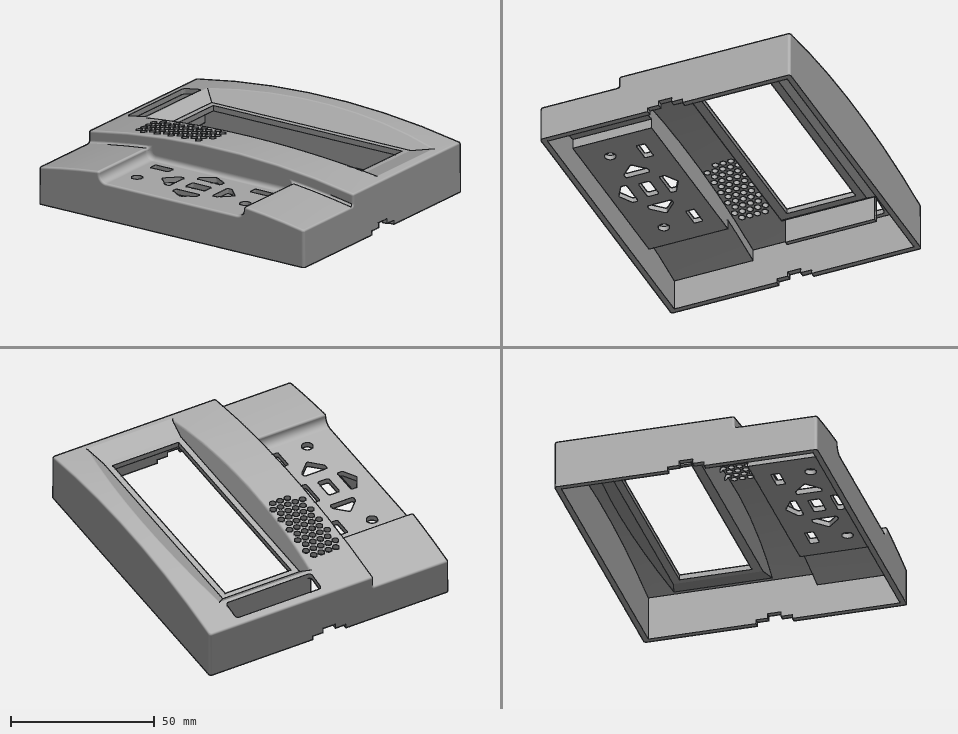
import cadquery as cq
import math

width = 112.88
depth = 95.1
wall = 2.0
draft_angle = 0.5
corner_radius = 1.0
edge_radius = 0.8
clearance = 10.0
margin = 0.1

roof_top = 23.3
roof_radius = 312.0

step_y = -17.6
step_drop = 4.5
step_root_radius = 0.8

keypad_half_width = 30.75
keypad_floor = 13.3
keypad_side_radius = 3.0
keypad_back_radius = 1.7
keypad_rim_radius = 0.8

recess_floor = 17.0
recess_left = -39.7
recess_right = 45.0
recess_front = 2.5
recess_back = 33.1
recess_run_left = 1.43
recess_run_right = 4.74
recess_run_front = 0.57
recess_run_back = 1.23
recess_rise = 9.0
recess_rim_radius = 1.0
window_border = 2.2

slot_left = -53.2
slot_right = -45.5
slot_front = 1.3
slot_back = 35.2
slot_corner_radius = 1.2
screen_thickness = 1.5
screen_bottom = 8.0

grille_x = -23.65
grille_y = -8.3
grille_pitch = 2.93
grille_columns = 11
grille_long_rows = 5
grille_hole = 2.3

keys_y = -31.2
middle_key_size = (8.2, 4.4)
middle_key_radius = 0.8
corner_key_size = (7.6, 3.3)
corner_key_radius = 0.4
corner_key_place = (21.2, -23.25)
lamp_hole = 4.0
lamp_place = (23.05, -35.6)
arrow_radius = 0.6
side_arrow_inner = 9.1
side_arrow_tip = 15.6
side_arrow_shoulder = 11.0
side_arrow_half_width = 4.6
end_arrow_inner = 6.2
end_arrow_tip = 11.3
end_arrow_shoulder = 8.3
end_arrow_half_width = 5.1

notch_tiers = ((13.2, 1.5), (4.9, 3.3))


def box(x_range, y_range, z_range):
    corner = (x_range[0], y_range[0], z_range[0])
    size = (x_range[1] - x_range[0], y_range[1] - y_range[0], z_range[1] - z_range[0])
    return cq.Workplane("XY").box(*size, centered=False).translate(corner)


def sky(crown, y_front, y_back):
    """Everything above the roof arc with the given crown height, between two Y positions."""
    half = width / 2 + clearance
    edge = crown - roof_radius + math.sqrt(roof_radius**2 - half**2)
    ceiling = roof_top + clearance
    return (
        cq.Workplane("XZ", origin=(0, y_back, 0))
        .moveTo(-half, edge)
        .threePointArc((0, crown), (half, edge))
        .lineTo(half, ceiling)
        .lineTo(-half, ceiling)
        .close()
        .extrude(y_back - y_front)
    )


def front_cutter(inset=0.0):
    """The space above the lowered front and its keypad, enlarged by an inset for the cavity."""
    front = -depth / 2 - clearance
    back = step_y + inset
    ceiling = roof_top + clearance
    half = keypad_half_width + inset
    above_wings = sky(roof_top - step_drop - inset, front, back)
    above_keypad = box((-half, half), (front, back), (keypad_floor - inset, ceiling))
    if inset:
        return above_wings.union(above_keypad)
    above_wings = above_wings.faces(">Y").edges("<Z").fillet(step_root_radius)
    above_keypad = above_keypad.edges("|Y and <Z").fillet(keypad_side_radius)
    above_keypad = above_keypad.faces(">Y").edges("not >Z").fillet(keypad_back_radius)
    return above_wings.union(above_keypad)


def recess(inset=0.0):
    """The display recess with four sloping sides, enlarged by an inset for the cavity."""
    z_low = recess_floor - inset
    z_high = recess_floor + recess_rise

    def trough(plane, low, run_low, high, run_high):
        def side(place, run, outwards, z):
            grown = inset * math.sqrt(1 + run**2)
            return (place + outwards * (grown + run * (z - recess_floor)), z)

        outline = [
            side(low, run_low, -1, z_low),
            side(high, run_high, 1, z_low),
            side(high, run_high, 1, z_high),
            side(low, run_low, -1, z_high),
        ]
        return cq.Workplane(plane).polyline(outline).close().extrude(width, both=True)

    across = trough("XZ", recess_left, recess_run_left, recess_right, recess_run_right)
    along = trough("YZ", recess_front, recess_run_front, recess_back, recess_run_back)
    return across.intersect(along)


def edges_at(block, x_range, y_range, z_range):
    """Edges whose centre lies in the given box."""
    low, high = zip(x_range, y_range, z_range)
    return block.edges(cq.selectors.BoxSelector(low, high))


def outer_block():
    """The outside of the cover: side walls with draft, curved roof, lowered front and keypad."""
    height = roof_top + clearance
    half_low = width / 2
    half_high = half_low - height * math.tan(math.radians(draft_angle))
    section = [(-half_low, 0), (half_low, 0), (half_high, height), (-half_high, height)]
    block = cq.Workplane("XZ").polyline(section).close().extrude(depth / 2, both=True)
    block = block.edges("not #Z").edges("not |Y").fillet(corner_radius)
    block = block.cut(sky(roof_top, -depth, depth)).cut(front_cutter())

    y_rim = (-depth / 2 + corner_radius, step_y - keypad_back_radius)
    z_rim = (keypad_floor + keypad_side_radius + margin, roof_top)
    for side in (-1, 1):
        x_rim = sorted((side * (keypad_half_width - margin), side * (keypad_half_width + margin)))
        block = edges_at(block, x_rim, y_rim, z_rim).fillet(keypad_rim_radius)

    x_all = (-width, width)
    y_end = depth / 2 - 3 * margin
    z_upper = (keypad_floor - margin, roof_top)
    z_step = (roof_top - step_drop, roof_top)
    outline = []
    outline += edges_at(block, x_all, (-depth / 2, -y_end), z_upper).vals()
    outline += edges_at(block, x_all, (y_end, depth / 2), z_upper).vals()
    outline += edges_at(block, x_all, (step_y - margin, step_y + margin), z_step).vals()
    for side in (-1, 1):
        x_side = sorted((side * (width / 2 - 5 * margin), side * width / 2))
        outline += edges_at(block, x_side, (-y_end, y_end), z_upper).vals()
    return block.newObject(outline).fillet(edge_radius)


def cut_recess(block):
    """Cut the display recess and round its rim, the only inner outline of the roof."""
    block = block.cut(recess())
    rim = [
        edge
        for face in block.faces().vals()
        for wire in face.innerWires()
        for edge in wire.Edges()
    ]
    return block.newObject(rim).fillet(recess_rim_radius)


def cavity():
    """The hollow inside, open at the bottom; the slot screen is left standing in it."""
    hollow = cq.Workplane("XY").rect(width - 2 * wall, depth - 2 * wall).extrude(roof_top)
    hollow = hollow.cut(sky(roof_top - wall, -depth, depth))
    hollow = hollow.cut(front_cutter(wall)).cut(recess(wall))
    screen_x = (slot_right, slot_right + screen_thickness)
    screen = box(screen_x, (slot_front, slot_back), (screen_bottom, roof_top))
    return hollow.cut(screen)


def through(sketch):
    """Turn a closed outline on the XY plane into a cutter passing through the whole height."""
    return sketch.extrude(roof_top + clearance)


def rounded_opening(x, y, size, radius):
    return through(cq.Workplane("XY").center(x, y).rect(*size)).edges("|Z").fillet(radius)


def window():
    x_range = (recess_left + window_border, recess_right - window_border)
    y_range = (recess_front + window_border, recess_back - window_border)
    return box(x_range, y_range, (0, roof_top))


def slot():
    size = (slot_right - slot_left, slot_back - slot_front)
    x = (slot_left + slot_right) / 2
    y = (slot_front + slot_back) / 2
    return rounded_opening(x, y, size, slot_corner_radius)


def grille():
    points = []
    for column in range(grille_columns):
        rows = grille_long_rows - 1 + column % 2
        first_y = grille_y + grille_pitch * (rows - 1) / 2
        if column == grille_columns - 1:
            rows -= 1
        x = grille_x + grille_pitch * (column - (grille_columns - 1) / 2)
        points += [(x, first_y - grille_pitch * row) for row in range(rows)]
    return through(cq.Workplane("XY").pushPoints(points).circle(grille_hole / 2))


def arrow(inner, shoulder, tip, half_width, angle):
    """An arrow-shaped opening whose tip points away from the middle key, at an angle from +X."""
    outline = [
        (inner, -half_width),
        (shoulder, -half_width),
        (tip, 0),
        (shoulder, half_width),
        (inner, half_width),
    ]
    cutter = through(cq.Workplane("XY").polyline(outline).close()).edges("|Z").fillet(arrow_radius)
    return cutter.rotate((0, 0, 0), (0, 0, 1), angle).translate((0, keys_y, 0))


def keypad_openings():
    cutter = rounded_opening(0, keys_y, middle_key_size, middle_key_radius)
    key_x, key_y = corner_key_place
    lamp_x, lamp_y = lamp_place
    for side in (-1, 1):
        cutter = cutter.union(rounded_opening(side * key_x, key_y, corner_key_size, corner_key_radius))
        lamp = through(cq.Workplane("XY").center(side * lamp_x, lamp_y).circle(lamp_hole / 2))
        cutter = cutter.union(lamp)
    for angle in (0, 180):
        cutter = cutter.union(
            arrow(side_arrow_inner, side_arrow_shoulder, side_arrow_tip, side_arrow_half_width, angle)
        )
    for angle in (90, 270):
        cutter = cutter.union(
            arrow(end_arrow_inner, end_arrow_shoulder, end_arrow_tip, end_arrow_half_width, angle)
        )
    return cutter


def notch():
    cutter = cq.Workplane("XY")
    for length, height in notch_tiers:
        cutter = cutter.union(box((-width, width), (-length / 2, length / 2), (0, height)))
    return cutter


result = cut_recess(outer_block()).cut(cavity())
for opening in (window(), slot(), grille(), keypad_openings(), notch()):
    result = result.cut(opening)